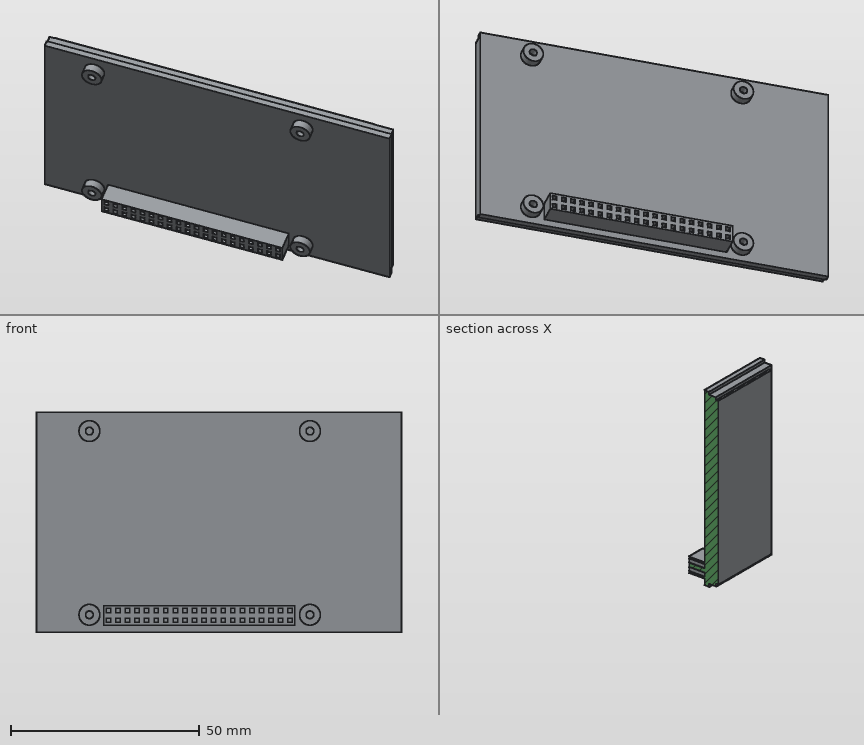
import cadquery as cq

BOARD_LENGTH = 97.0
BOARD_HEIGHT = 58.5
BOARD_THICKNESS = 1.65

PANEL_THICKNESS = 2.3
PANEL_RIGHT_MARGIN = 0.3
PANEL_EDGE_MARGIN = 0.9

SCREEN_THICKNESS = 0.8
SCREEN_LEFT_MARGIN = 1.0
SCREEN_RIGHT_MARGIN = 5.8
SCREEN_EDGE_MARGIN = 1.7

STANDOFF_DIAMETER = 5.5
STANDOFF_HOLE_DIAMETER = 2.0
STANDOFF_HEIGHT = 2.3
STANDOFF_LEFT = 14.1
STANDOFF_BOTTOM = 4.7
STANDOFF_SPACING_X = 58.6
STANDOFF_SPACING_Z = 48.8

SOCKET_COLUMNS = 20
SOCKET_ROWS = 2
SOCKET_SIZE = 1.2
CONNECTOR_LEFT = 17.8
CONNECTOR_BOTTOM = 1.9
CONNECTOR_DEPTH = 5.2
CONNECTOR_LENGTH = 50.8
SOCKET_PITCH = CONNECTOR_LENGTH / SOCKET_COLUMNS
CONNECTOR_HEIGHT = SOCKET_ROWS * SOCKET_PITCH


def block(left, right, front, back, bottom, top):
    """Box between the given X, Y and Z limits."""
    size = (right - left, back - front, top - bottom)
    return cq.Workplane("XY").box(*size, centered=False).translate((left, front, bottom))


def front_plane(x, y, z):
    """Work plane facing -Y; local axes are X and Z."""
    return cq.Workplane("XZ", origin=(x, y, z))


def display_stack():
    panel_back = BOARD_THICKNESS + PANEL_THICKNESS
    board = block(0, BOARD_LENGTH, 0, BOARD_THICKNESS, 0, BOARD_HEIGHT)
    panel = block(
        0, BOARD_LENGTH - PANEL_RIGHT_MARGIN,
        BOARD_THICKNESS, panel_back,
        PANEL_EDGE_MARGIN, BOARD_HEIGHT - PANEL_EDGE_MARGIN,
    )
    screen = block(
        SCREEN_LEFT_MARGIN, BOARD_LENGTH - SCREEN_RIGHT_MARGIN,
        panel_back, panel_back + SCREEN_THICKNESS,
        SCREEN_EDGE_MARGIN, BOARD_HEIGHT - SCREEN_EDGE_MARGIN,
    )
    return board.union(panel).union(screen)


def standoffs():
    """Four round spacers, each bored through to the board face."""
    center_x = STANDOFF_LEFT + STANDOFF_SPACING_X / 2
    center_z = STANDOFF_BOTTOM + STANDOFF_SPACING_Z / 2
    return (
        front_plane(center_x, 0, center_z)
        .rarray(STANDOFF_SPACING_X, STANDOFF_SPACING_Z, 2, 2)
        .circle(STANDOFF_DIAMETER / 2)
        .circle(STANDOFF_HOLE_DIAMETER / 2)
        .extrude(STANDOFF_HEIGHT)
    )


def connector():
    """Connector body with its sockets open to the board face."""
    center_x = CONNECTOR_LEFT + CONNECTOR_LENGTH / 2
    center_z = CONNECTOR_BOTTOM + CONNECTOR_HEIGHT / 2
    base = front_plane(center_x, 0, center_z)
    body = base.rect(CONNECTOR_LENGTH, CONNECTOR_HEIGHT).extrude(CONNECTOR_DEPTH)
    sockets = (
        base.rarray(SOCKET_PITCH, SOCKET_PITCH, SOCKET_COLUMNS, SOCKET_ROWS)
        .rect(SOCKET_SIZE, SOCKET_SIZE)
        .extrude(CONNECTOR_DEPTH)
    )
    return body.cut(sockets)


result = display_stack().union(standoffs()).union(connector())